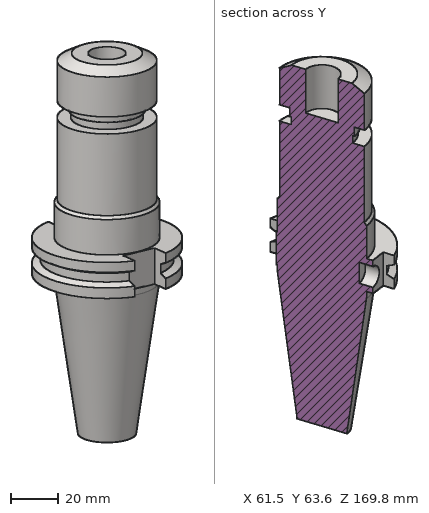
import cadquery as cq

total_height = 169.8
taper_top = 68.5
flange_bottom = 71.3
groove_bottom_outer = 76.1
groove_bottom_inner = 77.5
groove_top_inner = 81.4
groove_top_outer = 83.0
flange_top = 87.5
base_top = 103.3
body_bottom = 104.6
body_top = 141.1
neck_top = 144.5
nut_bottom = 148.8
nut_edge = 166.6

taper_small_radius = 12.4
base_radius = 22.3
flange_radius = 31.8
groove_radius = 28.2
body_radius = 21.0
neck_radius = 15.3
collar_radius = 16.1
nose_radius = 15.0

slot_width = 16.3
left_slot_floor = 25.3
right_slot_floor = 22.8

bore_radius = 8.0
bore_depth = total_height - nut_bottom
side_hole_radius = 5.0
side_hole_depth = 6.8


def revolved_holder():
    """Taper, V-grooved flange, body and clamping nut as one revolved profile."""
    profile = [
        (0, 0),
        (taper_small_radius, 0),
        (base_radius, taper_top),
        (base_radius, flange_bottom),
        (flange_radius, flange_bottom),
        (flange_radius, groove_bottom_outer),
        (groove_radius, groove_bottom_inner),
        (groove_radius, groove_top_inner),
        (flange_radius, groove_top_outer),
        (flange_radius, flange_top),
        (base_radius, flange_top),
        (base_radius, base_top),
        (body_radius, body_bottom),
        (body_radius, body_top),
        (neck_radius, body_top),
        (neck_radius, neck_top),
        (collar_radius, neck_top),
        (collar_radius, nut_bottom),
        (body_radius, nut_bottom),
        (body_radius, nut_edge),
        (nose_radius, total_height),
        (0, total_height),
    ]
    return cq.Workplane("XZ").polyline(profile).close().revolve(360, (0, 0), (0, 1))


def drive_slot(floor, side):
    """Slot cutter through the flange; side is -1 for -X and +1 for +X."""
    depth = flange_radius - floor
    middle = side * (floor + flange_radius) / 2
    return (
        cq.Workplane("XY", origin=(middle, 0, flange_bottom))
        .rect(depth, slot_width)
        .extrude(flange_top - flange_bottom)
    )


def collet_bore():
    """Blind bore cutter entering the nose of the nut."""
    return (
        cq.Workplane("XY", origin=(0, 0, total_height - bore_depth))
        .circle(bore_radius)
        .extrude(bore_depth)
    )


def side_hole():
    """Blind radial hole cutter in the floor of the -X drive slot."""
    flange_middle = (flange_bottom + flange_top) / 2
    return (
        cq.Workplane("YZ", origin=(-left_slot_floor, 0, flange_middle))
        .circle(side_hole_radius)
        .extrude(side_hole_depth)
    )


result = (
    revolved_holder()
    .cut(drive_slot(left_slot_floor, -1))
    .cut(drive_slot(right_slot_floor, 1))
    .cut(collet_bore())
    .cut(side_hole())
)